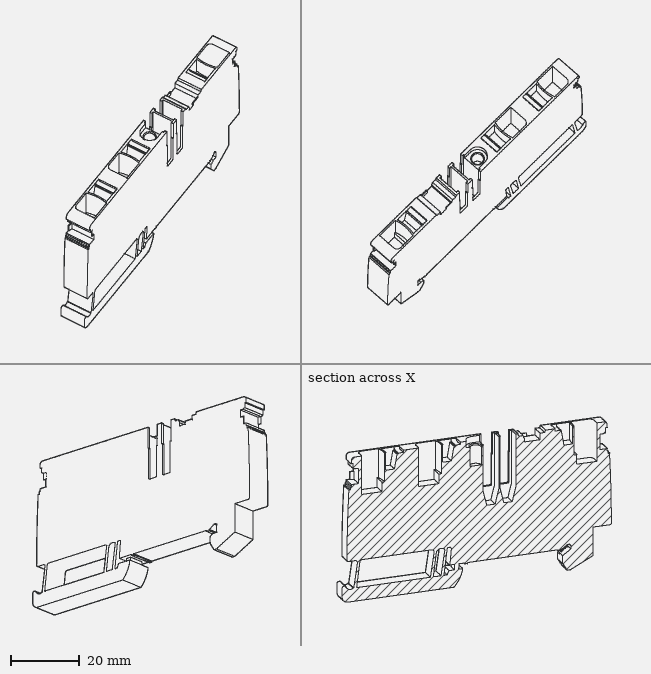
import cadquery as cq

THICKNESS = 8.05
LENGTH = 84.08
HEIGHT = 45.15
SIDE_X = THICKNESS / 2

BLOCK_HALF = 41.28
BLOCK_Y = LENGTH / 2 - BLOCK_HALF
BLOCK_BOTTOM = 12.65
KEEL_BOTTOM = 7.1
KEEL_END_Y = -8.45
KEEL_TOP_Y = -7.95
OVERLAP = 1.0
SELECT_MARGIN = 0.1
CORNER_RADIUS = 0.6

SHOULDER_REACH = 40.7
SHOULDER_Z = 35.1
RIDGE_REACH = 40.25
RIDGE_STEP_Z = 35.75
RIDGE_TIP_REACH = 39.95
NECK_REACH = 39.4
NECK_BOTTOM = 41.6
NECK_TOP = 43.1
HEAD_REACH = 39.95
TOP_CORNER_RADIUS = 1.1

GROOVE_FLOOR = 37.7
GROOVE_TOP = 41.3
GROOVE_SPLIT = 39.1
GROOVE_BOTTOM = 36.7
UPPER_LIP_REACH = 38.65
LOWER_LIP_REACH = 38.9
LIP_ROOT = {1: 0.5, -1: 0.35}
LIP_TIP = {1: 0.3, -1: 0.15}

NOTCH_START = 21.4
NOTCH_END = 12.9
NOTCH_STEP_Z = 44.45
NOTCH_STEP_RUN = 0.3
NOTCH_GROOVE_START = 19.65
NOTCH_GROOVE_SPLIT = 17.05
NOTCH_GROOVE_END = 14.9
NOTCH_GROOVE_Z = 42.4
NOTCH_LIP_Z = 43.4
NOTCH_RAMP_RUN = 0.45

SLOT_CENTRES = (9.75, 4.42)
SLOT_UPPER_WIDTH = 3.5
SLOT_LOWER_WIDTH = 3.05
SLOT_STEP_Z = 38.6
SLOT_FLOOR = 28.8
SLOT_CORNER = 0.4
SHAFT_HALF_X = 3.3
SHAFT_WIDTH = 4.75
FUNNEL_END_WIDTH = 2.5
FUNNEL_DEPTH = 4.5

PROBE_Y = -0.33
PROBE_RADIUS = 1.7
PROBE_CHAMFER = 0.3
PROBE_DEPTH = 6.0
PROBE_RECESS_RADIUS = 2.87
PROBE_RECESS_DEPTH = 2.0

ENTRY_OUTER = 36.63
ENTRY_PITCH = 17.75
WIRE_LENGTH = 6.6
WIRE_HALF_X = 3.5
WIRE_DEPTH = 12.0
WIRE_BOW_DEPTH = 9.0
WIRE_LOWER_INSET = 0.4
WIRE_CORNER = 1.4
WIRE_BULGE = 0.5
DIVIDER = 0.6
TOOL_LENGTH = 5.75
TOOL_HALF_X = 3.2
TOOL_BULGE = 0.35
TOOL_LEDGE_DEPTH = 0.7
TOOL_LEDGE_LENGTH = 1.6
TOOL_LEDGE_RADIUS = 0.6
TOOL_STEP_DEPTH = 1.0
TOOL_STEP_LENGTH = 0.4
TOOL_GUIDE_RUN = 0.8
TOOL_DEPTH = 5.5

HOOK_OUTER_Y = 36.3
HOOK_HEEL_Z = 3.8
HOOK_POINT_Y = 28.7
HOOK_POINT_WIDTH = 1.0
HOOK_POINT_Z = 0.35
HOOK_TIP_Y = 26.7
HOOK_TIP_BOTTOM = 2.75
HOOK_TIP_TOP = 4.8
HOOK_LEDGE_Y = 27.9
HOOK_LEDGE_Z = 5.6
HOOK_THROAT_Y = 29.25
HOOK_THROAT_Z = 8.35
HOOK_THROAT_WIDTH = 0.95
HOOK_THROAT_BEVEL = 0.35
HOOK_MOUTH_Y = 26.5
NOSE_HALF_X = 2.5
NOSE_BACK_Z = 7.0
NOSE_CREST_Y = 28.8
NOSE_CREST_Z = 6.6
NOSE_TIP_Z = 5.2

RIB_CENTRES = (25.8, -3.3)
RIB_WIDTH = 0.9
RIB_HEIGHT = 0.3
SPACER_Y = -6.2
SPACER_WIDTH = 1.6
SPACER_THICKNESS = 5.0

FOOT_TOP = 4.3
FOOT_TOE_Y = -4.4
FOOT_TOE_TOP = 5.55
FOOT_TOE_BOTTOM = 4.9
FOOT_TOE_RADIUS = 10.0
FOOT_BASE_Y = -7.1
FOOT_STEP_Y = -9.3
FOOT_STEP_RUN = 0.6
CHANNEL_START_Y = -38.6
CHANNEL_WIDTH = 1.6
CHANNEL_SAG = 0.3
FOOT_END_Y = -LENGTH / 2
FOOT_END_Z = 5.3
FOOT_END_RADIUS = 1.9
FOOT_RIM_RADIUS = 0.65
FOOT_RIM_Y = -40.65
LEG_FOOT_WIDTH = 1.05
LEG_HEAD_WIDTH = 0.85
LEG_HEADS = (-9.1, -12.4, -36.3)
LEG_LEAN = 1.05
LEG_ROOT_RADIUS = 0.6
LEG_BLEND_RADIUS = 1.3
LEG_GAP_RADIUS = 0.4


def plate(points, thickness=THICKNESS):
    """Closed (Y, Z) outline extruded along X, centred on X = 0."""
    outline = cq.Workplane("YZ").polyline(points).close()
    return outline.extrude(thickness / 2, both=True)


def block(y_min, y_max, z_min, z_max, thickness=THICKNESS):
    """Axis-aligned block centred on X = 0."""
    corners = [(y_min, z_min), (y_max, z_min), (y_max, z_max), (y_min, z_max)]
    return plate(corners, thickness)


def turn_end(shape):
    """Move a shape from the +Y end to the -Y end by half a turn about the block centre."""
    return shape.rotate((0, BLOCK_Y, 0), (0, BLOCK_Y, 1), 180)


def main_block():
    body = block(BLOCK_Y - BLOCK_HALF, BLOCK_Y + BLOCK_HALF, BLOCK_BOTTOM, HEIGHT)
    return body.edges("|X and <Z").fillet(CORNER_RADIUS)


def end_relief():
    """Material removed from the +Y end: the bowed flank, the marker groove and the top corner."""
    bow_start_z = BLOCK_BOTTOM + CORNER_RADIUS
    outside = BLOCK_HALF + OVERLAP
    above = HEIGHT + OVERLAP
    arc_start_z = HEIGHT - TOP_CORNER_RADIUS
    arc_end = HEAD_REACH - TOP_CORNER_RADIUS
    relief = (
        cq.Workplane("YZ")
        .moveTo(outside, above)
        .lineTo(outside, bow_start_z - OVERLAP)
        .lineTo(BLOCK_HALF, bow_start_z - OVERLAP)
        .lineTo(BLOCK_HALF, bow_start_z)
        .tangentArcPoint((SHOULDER_REACH, SHOULDER_Z), relative=False)
        .lineTo(RIDGE_REACH, SHOULDER_Z)
        .lineTo(RIDGE_REACH, RIDGE_STEP_Z)
        .lineTo(RIDGE_TIP_REACH, RIDGE_STEP_Z + RIDGE_REACH - RIDGE_TIP_REACH)
        .lineTo(RIDGE_TIP_REACH, GROOVE_BOTTOM)
        .lineTo(GROOVE_FLOOR, GROOVE_BOTTOM)
        .lineTo(GROOVE_FLOOR, GROOVE_TOP)
        .lineTo(UPPER_LIP_REACH, GROOVE_TOP)
        .lineTo(NECK_REACH, NECK_BOTTOM)
        .lineTo(NECK_REACH, NECK_TOP)
        .lineTo(HEAD_REACH, NECK_TOP)
        .lineTo(HEAD_REACH, arc_start_z)
        .radiusArc((arc_end, HEIGHT), -TOP_CORNER_RADIUS)
        .lineTo(arc_end, above)
        .close()
        .extrude(SIDE_X, both=True)
    )
    return relief.translate((0, BLOCK_Y, 0))


def groove_lip(side, reach, z_min, z_max):
    """Tapered lip standing on the floor of the +Y end groove along one side face."""
    outline = [
        (side * SIDE_X, GROOVE_FLOOR),
        (side * (SIDE_X - LIP_ROOT[side]), GROOVE_FLOOR),
        (side * (SIDE_X - LIP_TIP[side]), reach),
        (side * SIDE_X, reach),
    ]
    lip = cq.Workplane("XY").polyline(outline).close().extrude(z_max - z_min)
    return lip.translate((0, BLOCK_Y, z_min))


def end_lips():
    upper = groove_lip(-1, UPPER_LIP_REACH, GROOVE_SPLIT, GROOVE_TOP)
    lower = groove_lip(1, LOWER_LIP_REACH, GROOVE_BOTTOM, GROOVE_SPLIT)
    return upper.union(lower)


def marker_notch():
    return plate([
        (NOTCH_START, HEIGHT),
        (NOTCH_START - NOTCH_STEP_RUN, NOTCH_STEP_Z),
        (NOTCH_GROOVE_START, NOTCH_STEP_Z),
        (NOTCH_GROOVE_START, NOTCH_GROOVE_Z),
        (NOTCH_GROOVE_END, NOTCH_GROOVE_Z),
        (NOTCH_GROOVE_END, NOTCH_LIP_Z),
        (NOTCH_GROOVE_END - NOTCH_RAMP_RUN, NOTCH_STEP_Z),
        (NOTCH_END + NOTCH_STEP_RUN, NOTCH_STEP_Z),
        (NOTCH_END, HEIGHT),
    ])


def notch_lip(side, y_min, y_max):
    """Tapered lip standing on the floor of the top notch along one side face."""
    outline = [
        (side * SIDE_X, NOTCH_GROOVE_Z),
        (side * (SIDE_X - LIP_ROOT[side]), NOTCH_GROOVE_Z),
        (side * (SIDE_X - LIP_TIP[side]), NOTCH_LIP_Z),
        (side * SIDE_X, NOTCH_LIP_Z),
    ]
    lip = cq.Workplane("XZ").polyline(outline).close().extrude(y_min - y_max)
    return lip.translate((0, y_min, 0))


def bridge_slot(y_mid):
    """Stepped through slot with a wider inner shaft ending in a funnel."""
    upper_half = SLOT_UPPER_WIDTH / 2
    lower_half = SLOT_LOWER_WIDTH / 2
    shaft_half = SHAFT_WIDTH / 2
    funnel_half = FUNNEL_END_WIDTH / 2
    funnel_z = SLOT_FLOOR - FUNNEL_DEPTH
    lower = block(y_mid - lower_half, y_mid + lower_half, SLOT_FLOOR, HEIGHT)
    lower = lower.edges("|X and <Z").fillet(SLOT_CORNER)
    upper = block(y_mid - upper_half, y_mid + upper_half, SLOT_STEP_Z, HEIGHT)
    shaft = plate(
        [
            (y_mid - shaft_half, HEIGHT),
            (y_mid - shaft_half, SLOT_FLOOR),
            (y_mid - funnel_half, funnel_z),
            (y_mid + funnel_half, funnel_z),
            (y_mid + shaft_half, SLOT_FLOOR),
            (y_mid + shaft_half, HEIGHT),
        ],
        2 * SHAFT_HALF_X,
    )
    return lower.union(upper).union(shaft)


def probe_hole():
    recess_z = HEIGHT - PROBE_RECESS_DEPTH
    slot_y = min(SLOT_CENTRES)
    recess = cq.Workplane("XY", origin=(0, PROBE_Y, recess_z)).circle(PROBE_RECESS_RADIUS)
    recess = recess.extrude(PROBE_RECESS_DEPTH)
    channel = block(PROBE_Y, slot_y, recess_z, HEIGHT, 2 * PROBE_RECESS_RADIUS)
    hole = cq.Workplane("XY", origin=(0, PROBE_Y, recess_z)).circle(PROBE_RADIUS).extrude(-PROBE_DEPTH)
    countersink = (
        cq.Workplane("XY", origin=(0, PROBE_Y, recess_z))
        .circle(PROBE_RADIUS + PROBE_CHAMFER)
        .workplane(offset=-PROBE_CHAMFER)
        .circle(PROBE_RADIUS)
        .loft()
    )
    return recess.union(channel).union(hole).union(countersink)


def wire_pocket(outer):
    """Deep wire pocket with one rounded corner; its inner wall is bowed above a straight lower part."""
    inner = outer - WIRE_LENGTH
    straight_start = BLOCK_Y + inner + WIRE_LOWER_INSET
    pocket = block(straight_start, BLOCK_Y + outer, HEIGHT - WIRE_DEPTH, HEIGHT, 2 * WIRE_HALF_X)
    pocket = pocket.edges("|Z and <X and >Y").fillet(WIRE_CORNER)
    bowed_end = (
        cq.Workplane("XY", origin=(0, BLOCK_Y, HEIGHT))
        .moveTo(WIRE_HALF_X, inner)
        .lineTo(WIRE_HALF_X, inner + OVERLAP)
        .lineTo(-WIRE_HALF_X, inner + OVERLAP)
        .lineTo(-WIRE_HALF_X, inner)
        .threePointArc((0, inner - WIRE_BULGE), (WIRE_HALF_X, inner))
        .close()
        .extrude(-WIRE_BOW_DEPTH)
    )
    return pocket.union(bowed_end)


def tool_pocket(outer):
    """Screwdriver pocket: a shallow ledge, a step and a steep guide face down to the floor."""
    wall = outer - WIRE_LENGTH - DIVIDER
    inner = wall - TOOL_LENGTH
    step_start = inner + TOOL_LEDGE_LENGTH
    step_end = step_start + TOOL_STEP_LENGTH
    guide = plate(
        [
            (step_start, HEIGHT),
            (step_start, HEIGHT - TOOL_STEP_DEPTH),
            (step_end, HEIGHT - TOOL_STEP_DEPTH),
            (step_end + TOOL_GUIDE_RUN, HEIGHT - TOOL_DEPTH),
            (wall, HEIGHT - TOOL_DEPTH),
            (wall, HEIGHT),
        ],
        2 * TOOL_HALF_X,
    ).translate((0, BLOCK_Y, 0))
    bowed_plan = (
        cq.Workplane("XY", origin=(0, BLOCK_Y, HEIGHT))
        .moveTo(TOOL_HALF_X, wall)
        .lineTo(TOOL_HALF_X, inner)
        .lineTo(-TOOL_HALF_X, inner)
        .lineTo(-TOOL_HALF_X, wall)
        .threePointArc((0, wall - TOOL_BULGE), (TOOL_HALF_X, wall))
        .close()
        .extrude(-TOOL_DEPTH)
    )
    ledge = block(inner, step_start, HEIGHT - TOOL_LEDGE_DEPTH, HEIGHT, 2 * TOOL_HALF_X)
    ledge = ledge.edges("|Y and <Z").fillet(TOOL_LEDGE_RADIUS)
    return guide.intersect(bowed_plan).union(ledge.translate((0, BLOCK_Y, 0)))


def wire_entry(outer):
    return wire_pocket(outer).union(tool_pocket(outer))


def keel_and_hook():
    """Lower web between the rail hook and the foot, with the hook at its +Y end."""
    web = plate([
        (HOOK_OUTER_Y, BLOCK_BOTTOM + OVERLAP),
        (HOOK_OUTER_Y, HOOK_HEEL_Z),
        (HOOK_POINT_Y + HOOK_POINT_WIDTH / 2, HOOK_POINT_Z),
        (HOOK_POINT_Y - HOOK_POINT_WIDTH / 2, HOOK_POINT_Z),
        (HOOK_TIP_Y, HOOK_TIP_BOTTOM),
        (HOOK_TIP_Y, HOOK_TIP_TOP),
        (HOOK_LEDGE_Y, HOOK_LEDGE_Z),
        (HOOK_THROAT_Y, HOOK_LEDGE_Z),
        (HOOK_THROAT_Y, HOOK_THROAT_Z - HOOK_THROAT_BEVEL),
        (HOOK_THROAT_Y - HOOK_THROAT_BEVEL, HOOK_THROAT_Z),
        (HOOK_THROAT_Y - HOOK_THROAT_WIDTH, HOOK_THROAT_Z),
        (HOOK_MOUTH_Y, KEEL_BOTTOM),
        (KEEL_END_Y, KEEL_BOTTOM),
        (KEEL_TOP_Y, BLOCK_BOTTOM),
        (KEEL_TOP_Y, BLOCK_BOTTOM + OVERLAP),
    ])
    nose = plate(
        [
            (HOOK_THROAT_Y, HOOK_LEDGE_Z),
            (HOOK_THROAT_Y, NOSE_BACK_Z),
            (NOSE_CREST_Y, NOSE_CREST_Z),
            (HOOK_TIP_Y, NOSE_TIP_Z),
            (HOOK_TIP_Y, HOOK_TIP_TOP),
            (HOOK_LEDGE_Y, HOOK_LEDGE_Z),
        ],
        2 * NOSE_HALF_X,
    )
    return web.union(nose)


def contact_rib(y_mid):
    half = RIB_WIDTH / 2
    return block(y_mid - half, y_mid + half, KEEL_BOTTOM - RIB_HEIGHT, KEEL_BOTTOM + OVERLAP)


def spacer():
    half = SPACER_WIDTH / 2
    z_min = FOOT_TOE_TOP - OVERLAP
    return block(SPACER_Y - half, SPACER_Y + half, z_min, KEEL_BOTTOM + OVERLAP, SPACER_THICKNESS)


def foot_beam():
    """Foot: toe at its +Y end, release channel and rounded rim at its -Y end."""
    rim_low_z = FOOT_END_Z - FOOT_RIM_RADIUS
    channel_end = CHANNEL_START_Y - CHANNEL_WIDTH
    channel_mid = CHANNEL_START_Y - CHANNEL_WIDTH / 2
    return (
        cq.Workplane("YZ")
        .moveTo(FOOT_TOE_Y, FOOT_TOE_TOP)
        .lineTo(FOOT_STEP_Y + FOOT_STEP_RUN, FOOT_TOE_TOP)
        .lineTo(FOOT_STEP_Y, FOOT_TOP)
        .lineTo(CHANNEL_START_Y, FOOT_TOP)
        .threePointArc((channel_mid, FOOT_TOP - CHANNEL_SAG), (channel_end, FOOT_TOP))
        .lineTo(FOOT_RIM_Y, rim_low_z)
        .radiusArc((FOOT_RIM_Y - FOOT_RIM_RADIUS, FOOT_END_Z), -FOOT_RIM_RADIUS)
        .lineTo(FOOT_END_Y + FOOT_RIM_RADIUS, FOOT_END_Z)
        .radiusArc((FOOT_END_Y, rim_low_z), -FOOT_RIM_RADIUS)
        .lineTo(FOOT_END_Y, FOOT_END_RADIUS)
        .radiusArc((FOOT_END_Y + FOOT_END_RADIUS, 0), -FOOT_END_RADIUS)
        .lineTo(FOOT_BASE_Y, 0)
        .radiusArc((FOOT_TOE_Y, FOOT_TOE_BOTTOM), -FOOT_TOE_RADIUS)
        .close()
        .extrude(SIDE_X, both=True)
    )


def foot_leg(head_y):
    """Slender leaning leg from the block down to the foot beam."""
    foot_y = head_y - LEG_LEAN
    return plate([
        (head_y, BLOCK_BOTTOM),
        (head_y, BLOCK_BOTTOM + OVERLAP),
        (head_y - LEG_HEAD_WIDTH, BLOCK_BOTTOM + OVERLAP),
        (head_y - LEG_HEAD_WIDTH, BLOCK_BOTTOM),
        (foot_y - LEG_FOOT_WIDTH, FOOT_TOP),
        (foot_y - LEG_FOOT_WIDTH, FOOT_TOP - OVERLAP),
        (foot_y, FOOT_TOP - OVERLAP),
        (foot_y, FOOT_TOP),
    ])


def round_underside(body, y_min, y_max, radius):
    """Round the X-running edges on the underside of the block between two Y positions."""
    selector = cq.selectors.BoxSelector(
        (-THICKNESS, y_min - SELECT_MARGIN, BLOCK_BOTTOM - SELECT_MARGIN),
        (THICKNESS, y_max + SELECT_MARGIN, BLOCK_BOTTOM + SELECT_MARGIN),
    )
    return body.edges("|X").edges(selector).fillet(radius)


def terminal_block():
    body = main_block().union(keel_and_hook()).union(foot_beam()).union(spacer())
    for head_y in LEG_HEADS:
        body = body.union(foot_leg(head_y))
    front_leg, middle_leg, rear_leg = LEG_HEADS
    body = round_underside(body, front_leg, KEEL_TOP_Y, LEG_GAP_RADIUS)
    body = round_underside(body, middle_leg, middle_leg, LEG_BLEND_RADIUS)
    front_leg_back = front_leg - LEG_HEAD_WIDTH
    body = round_underside(body, front_leg_back, front_leg_back, LEG_ROOT_RADIUS)
    body = round_underside(body, rear_leg - LEG_HEAD_WIDTH, middle_leg - LEG_HEAD_WIDTH, LEG_ROOT_RADIUS)
    for rib_y in RIB_CENTRES:
        body = body.union(contact_rib(rib_y))

    body = body.cut(end_relief()).cut(turn_end(end_relief()))
    body = body.union(end_lips()).union(turn_end(end_lips()))

    body = body.cut(marker_notch())
    body = body.union(notch_lip(1, NOTCH_GROOVE_SPLIT, NOTCH_GROOVE_START))
    body = body.union(notch_lip(-1, NOTCH_GROOVE_END, NOTCH_GROOVE_SPLIT))

    for slot_y in SLOT_CENTRES:
        body = body.cut(bridge_slot(slot_y))
    body = body.cut(probe_hole())

    body = body.cut(wire_entry(ENTRY_OUTER))
    for outer in (ENTRY_OUTER, ENTRY_OUTER - ENTRY_PITCH):
        body = body.cut(wire_entry(outer).mirror("XZ", (0, BLOCK_Y, 0)))
    return body


result = terminal_block()